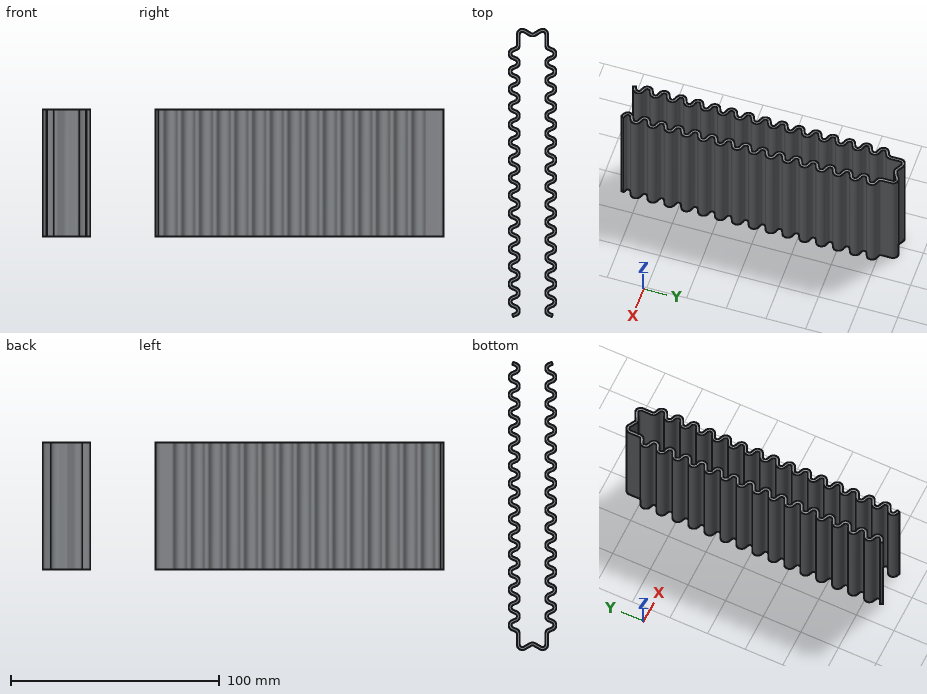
import cadquery as cq
import math

total_width = 23.0
total_length = 138.3
height = 61.0
wall = 1.5
leg_gap = 12.0
wave_count = 15
flank_angle = 67
shoulder_depth = 7.7
dip_angle = 30

flank_sin = math.sin(math.radians(flank_angle))
flank_cos = math.cos(math.radians(flank_angle))
dip_sin = math.sin(math.radians(dip_angle))
dip_cos = math.cos(math.radians(dip_angle))

outer_peak_x = (total_width - wall) / 2
shoulder_x = (leg_gap + wall) / 2
wave_swing = outer_peak_x - shoulder_x

flank_count = 2 * wave_count + 1
corrugated_rise = total_length - shoulder_depth - wall / 2 * flank_sin
bend_radius = (corrugated_rise * flank_sin - flank_count * flank_cos * wave_swing) / (
    (2 * flank_count - 1) * flank_sin**2 - 2 * flank_count * flank_cos * (1 - flank_cos)
)
flank_length = (wave_swing - 2 * bend_radius * (1 - flank_cos)) / flank_sin

shoulder_length = shoulder_depth - wall / 2 - bend_radius
dip_flank_length = (shoulder_x - bend_radius - 2 * bend_radius * dip_sin) / dip_cos


def strip_path():
    """Straight lengths and left-turn angles, alternating, from one end of the strip to the other."""
    leg = []
    for _ in range(wave_count):
        leg += [flank_length, 2 * flank_angle, flank_length, -2 * flank_angle]
    shoulder = [flank_length, flank_angle, shoulder_length, -(90 + dip_angle), dip_flank_length]
    half = leg + shoulder
    return half + [2 * dip_angle] + half[::-1]


def draw_edge(outline, point, heading, path):
    """Draw the strip edge lying to the right of the centreline path."""
    x, y = point
    for index, value in enumerate(path):
        if index % 2 == 0:
            x += value * math.cos(math.radians(heading))
            y += value * math.sin(math.radians(heading))
            outline = outline.lineTo(x, y)
            continue
        side = math.copysign(1, value)
        radius = bend_radius + side * wall / 2
        normal = math.radians(heading + side * 90)
        center_x = x + radius * math.cos(normal)
        center_y = y + radius * math.sin(normal)
        arc_points = []
        for turn in (value / 2, value):
            spoke = normal + math.pi + math.radians(turn)
            arc_points.append((center_x + radius * math.cos(spoke), center_y + radius * math.sin(spoke)))
        outline = outline.threePointArc(*arc_points)
        x, y = arc_points[-1]
        heading += value
    return outline


def build_strip():
    path = strip_path()
    return_path = [value if index % 2 == 0 else -value for index, value in enumerate(path)]
    start_heading = 90 - flank_angle

    end_x = shoulder_x + bend_radius * (1 - flank_cos) + flank_length * flank_sin
    lower_corner = (-end_x + wall / 2 * flank_cos, -total_length / 2)
    upper_corner = (end_x + wall / 2 * flank_cos, -total_length / 2 + wall * flank_sin)

    outline = cq.Workplane("XY").moveTo(*lower_corner)
    outline = draw_edge(outline, lower_corner, start_heading, path)
    outline = outline.lineTo(*upper_corner)
    outline = draw_edge(outline, upper_corner, 180 - start_heading, return_path)
    return outline.close().extrude(height)


result = build_strip()